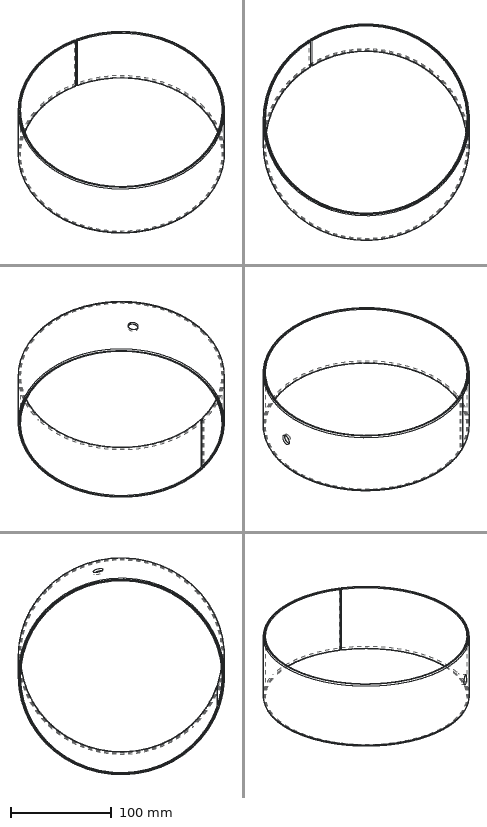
import cadquery as cq
import math

outer_diameter = 205.0
wall_thickness = 2.5
height = 70.0
outer_radius = outer_diameter / 2
inner_radius = outer_radius - wall_thickness

outer_bevel_height = 1.8
outer_bevel_angle = 20.0
outer_bevel_depth = outer_bevel_height * math.tan(math.radians(outer_bevel_angle))

inner_chamfer = 0.8

split_angle = 1.0
split_face_angle = 180.0

hole_diameter = 10.0
hole_angle = 59.0
hole_height = height / 2


def make_wall_section():
    """Wall cross-section, with both rims bevelled inside and out."""
    rim_inner_radius = inner_radius + inner_chamfer
    rim_outer_radius = outer_radius - outer_bevel_depth
    return (
        cq.Workplane("XZ")
        .moveTo(rim_inner_radius, 0)
        .lineTo(rim_outer_radius, 0)
        .lineTo(outer_radius, outer_bevel_height)
        .lineTo(outer_radius, height - outer_bevel_height)
        .lineTo(rim_outer_radius, height)
        .lineTo(rim_inner_radius, height)
        .lineTo(inner_radius, height - inner_chamfer)
        .lineTo(inner_radius, inner_chamfer)
        .close()
    )


def make_split_ring():
    """Wall section revolved about Z from one face of the split round to the other."""
    ring = make_wall_section().revolve(360 - split_angle, (0, 0), (0, 1))
    return ring.rotate((0, 0, 0), (0, 0, 1), split_face_angle)


def make_hole():
    """Radial cylinder that starts at the ring axis and leaves through the wall."""
    cylinder = cq.Workplane("YZ").center(0, hole_height).circle(hole_diameter / 2).extrude(outer_diameter)
    return cylinder.rotate((0, 0, 0), (0, 0, 1), hole_angle)


result = make_split_ring().cut(make_hole())